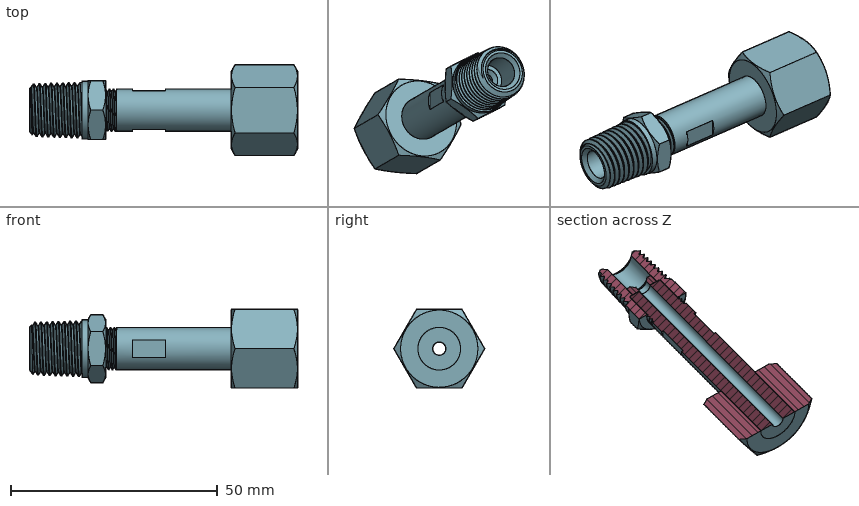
import cadquery as cq
import math

overall_length = 64.8

pipe_taper = 1 / 32

collar_start = 12.7
collar_radius = 7.0
hex_start = 14.05
hex_end = 18.4
hex_across_flats = 14.25
hex_face_radius = collar_radius
adapter_bore_radius = 3.55
bore_mouth_radius = 4.55
tip_face_radius = 5.2
tip_chamfer_length = 0.9
pipe_crest_radius = 6.35
pipe_thread_turns = 9
pipe_pitch = collar_start / pipe_thread_turns
pipe_groove_depth = 0.85
pipe_groove_phase = 0.25

tube_diameter = 10.3
tube_radius = tube_diameter / 2
tube_thread_end = 21.0
tube_pitch = pipe_pitch * 2 / 3
tube_groove_depth = 0.6
tube_groove_phase = 17.9
spigot_length = 7.1
spigot_start = hex_end - spigot_length
tube_thread_start_radius = tube_radius - pipe_taper * (tube_thread_end - hex_end)
spigot_radius = tube_thread_start_radius - tube_groove_depth
wrench_flat_start = 24.9
wrench_flat_end = 32.8
wrench_flat_spacing = 9.4
passage_radius = 1.55

insert_length = 2.6
countersink_radius = 2.5

nut_start = 48.7
nut_across_flats = 19.05
nut_face_radius = 9.35

adapter_hex_turn = 30

corner_chamfer_angle = math.radians(30)

groove_mouth_fraction = 0.85
groove_root_fraction = 0.12
groove_overshoot = 0.05


def revolve_profile(points):
    """Solid of revolution about X from (x, radius) points."""
    return cq.Workplane("XY").polyline(points).close().revolve(360, (0, 0, 0), (1, 0, 0))


def cylinder(start, end, radius):
    return revolve_profile([(start, 0), (end, 0), (end, radius), (start, radius)])


def hex_prism(start, end, across_flats, face_radius, turn):
    """Hex bar along X with conically chamfered corners at both ends."""
    corner_radius = across_flats / math.sqrt(3)
    chamfer_length = (corner_radius - face_radius) * math.tan(corner_chamfer_angle)
    bar = (
        cq.Workplane("YZ", origin=(start, 0, 0))
        .polygon(6, 2 * corner_radius)
        .extrude(end - start)
        .rotate((0, 0, 0), (1, 0, 0), turn)
    )
    envelope = revolve_profile([
        (start, 0),
        (start, face_radius),
        (start + chamfer_length, corner_radius),
        (end - chamfer_length, corner_radius),
        (end, face_radius),
        (end, 0),
    ])
    return bar.intersect(envelope)


def thread_cutter(start, turns, pitch, crest_radius, depth):
    """Right-hand helical V groove along X; crest_radius is taken at x = start."""
    root_radius = crest_radius - depth
    outer_radius = crest_radius + groove_overshoot
    root_half = groove_root_fraction * pitch / 2
    mouth_half = groove_mouth_fraction * pitch / 2
    outer_half = mouth_half + (mouth_half - root_half) * groove_overshoot / depth
    helix = cq.Wire.makeHelix(pitch, turns * pitch, crest_radius, angle=math.degrees(math.atan(pipe_taper)))
    section = (
        cq.Workplane("XZ")
        .polyline([
            (root_radius, -root_half),
            (outer_radius, -outer_half),
            (outer_radius, outer_half),
            (root_radius, root_half),
        ])
        .close()
    )
    groove = section.sweep(cq.Workplane(obj=helix), isFrenet=True)
    groove = groove.rotate((0, 0, 0), (1, 1, 1), 120)
    return groove.translate((start, 0, 0))


def make_adapter():
    chamfer_top_radius = pipe_crest_radius + pipe_taper * tip_chamfer_length
    stem = revolve_profile([
        (0, 0),
        (0, tip_face_radius),
        (tip_chamfer_length, chamfer_top_radius),
        (hex_start, pipe_crest_radius + pipe_taper * hex_start),
        (hex_start, 0),
    ])
    groove_start = pipe_groove_phase - pipe_pitch
    groove_turns = math.ceil((collar_start - groove_start) / pipe_pitch)
    stem = stem.cut(thread_cutter(
        groove_start, groove_turns, pipe_pitch,
        pipe_crest_radius + pipe_taper * groove_start, pipe_groove_depth,
    ))
    body = stem.union(cylinder(collar_start, hex_start, collar_radius))
    body = body.union(hex_prism(hex_start, hex_end, hex_across_flats, hex_face_radius, adapter_hex_turn))
    bore_chamfer = bore_mouth_radius - adapter_bore_radius
    bore = revolve_profile([
        (0, 0),
        (0, bore_mouth_radius),
        (bore_chamfer, adapter_bore_radius),
        (spigot_start, adapter_bore_radius),
        (spigot_start, spigot_radius),
        (hex_end, spigot_radius),
        (hex_end, 0),
    ])
    return body.cut(bore)


def make_insert():
    insert_start = spigot_start - insert_length
    countersink_depth = countersink_radius - passage_radius
    return revolve_profile([
        (insert_start, countersink_radius),
        (insert_start, adapter_bore_radius),
        (spigot_start, adapter_bore_radius),
        (spigot_start, passage_radius),
        (insert_start + countersink_depth, passage_radius),
    ])


def make_tube():
    exposed_thread = revolve_profile([
        (hex_end, 0),
        (hex_end, tube_thread_start_radius),
        (tube_thread_end, tube_radius),
        (tube_thread_end, 0),
    ])
    groove_start = tube_groove_phase - tube_pitch
    groove_turns = math.ceil((tube_thread_end - groove_start) / tube_pitch) + 1
    exposed_thread = exposed_thread.cut(thread_cutter(
        groove_start, groove_turns, tube_pitch,
        tube_radius - pipe_taper * (tube_thread_end - groove_start), tube_groove_depth,
    ))
    shank = cylinder(tube_thread_end, overall_length, tube_radius)
    flat_length = wrench_flat_end - wrench_flat_start
    flat_depth = tube_radius - wrench_flat_spacing / 2
    for side in (-1, 1):
        flat_cut = cq.Workplane("XY").box(flat_length, flat_depth, 2 * tube_radius)
        shank = shank.cut(flat_cut.translate((
            (wrench_flat_start + wrench_flat_end) / 2,
            side * (wrench_flat_spacing + flat_depth) / 2,
            0,
        )))
    spigot = cylinder(spigot_start, hex_end, spigot_radius)
    tube = shank.union(exposed_thread).union(spigot)
    return tube.cut(cylinder(spigot_start, overall_length, passage_radius))


def make_nut():
    nut = hex_prism(nut_start, overall_length, nut_across_flats, nut_face_radius, 0)
    return nut.cut(cylinder(nut_start, overall_length, tube_radius))


adapter = make_adapter()
insert = make_insert()
tube = make_tube()
nut = make_nut()

result = cq.Compound.makeCompound([adapter.val(), insert.val(), tube.val(), nut.val()])